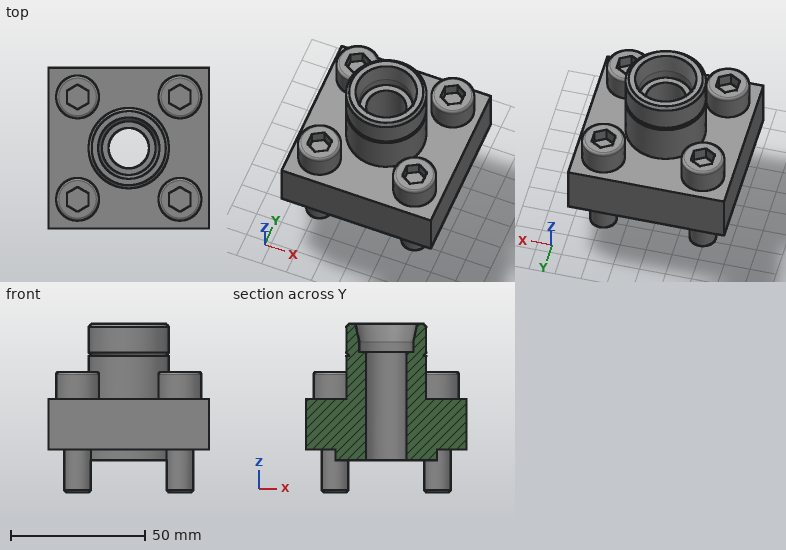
import cadquery as cq
import math

plate_side = 60.0
plate_thickness = 19.0

fitting_radius = 30.0 / 2
fitting_rise = 28.0
spigot_radius = 38.0 / 2
spigot_drop = 4.0
fitting_top = plate_thickness + fitting_rise

thread_root_radius = 27.64 / 2
thread_chamfer = fitting_radius - thread_root_radius
collar_length = 12.0

cone_half_angle = math.radians(12.0)
cone_mouth_radius = 22.9 / 2
socket_radius = 20.0 / 2
socket_depth = 10.5
bore_radius = 15.0 / 2
cone_depth = (cone_mouth_radius - socket_radius) / math.tan(cone_half_angle)

bolt_circle_diameter = 54.0
screw_pitch = bolt_circle_diameter / math.sqrt(2)
shank_radius = 10.0 / 2
shank_length = 35.0
tip_chamfer = 0.92
head_radius = 16.0 / 2
head_height = 10.0
head_fillet = 1.0
hex_across_flats = 8.0
hex_depth = 5.0


def make_plate():
    return cq.Workplane("XY").box(
        plate_side, plate_side, plate_thickness, centered=(True, True, False)
    )


def make_fitting():
    """Turned outer shape of the fitting, revolved about Z."""
    collar_bottom = fitting_top - collar_length
    outline = [
        (0, -spigot_drop),
        (spigot_radius, -spigot_drop),
        (spigot_radius, 0),
        (fitting_radius, 0),
        (fitting_radius, collar_bottom),
        (thread_root_radius, collar_bottom),
        (fitting_radius, collar_bottom + thread_chamfer),
        (fitting_radius, fitting_top - thread_chamfer),
        (thread_root_radius, fitting_top),
        (0, fitting_top),
    ]
    return cq.Workplane("XZ").polyline(outline).close().revolve(360, (0, 0), (0, 1))


def make_bore():
    """Stepped bore through the whole fitting, revolved about Z."""
    socket_floor = fitting_top - socket_depth
    outline = [
        (0, -spigot_drop),
        (bore_radius, -spigot_drop),
        (bore_radius, socket_floor),
        (socket_radius, socket_floor),
        (socket_radius, fitting_top - cone_depth),
        (cone_mouth_radius, fitting_top),
        (0, fitting_top),
    ]
    return cq.Workplane("XZ").polyline(outline).close().revolve(360, (0, 0), (0, 1))


def make_screw():
    """Cap screw with the underside of its head at Z = 0."""
    hex_across_corners = hex_across_flats / math.cos(math.pi / 6)
    shank = (
        cq.Workplane("XY")
        .circle(shank_radius)
        .extrude(-shank_length)
        .faces("<Z")
        .chamfer(tip_chamfer)
    )
    head = (
        cq.Workplane("XY")
        .circle(head_radius)
        .extrude(head_height)
        .faces(">Z")
        .edges()
        .fillet(head_fillet)
    )
    socket = (
        cq.Workplane("XY")
        .workplane(offset=head_height - hex_depth)
        .polygon(6, hex_across_corners)
        .extrude(hex_depth)
        .rotate((0, 0, 0), (0, 0, 1), 90)
    )
    return shank.union(head).cut(socket)


result = make_plate().union(make_fitting()).cut(make_bore())
screw = make_screw()
for side_x in (-1, 1):
    for side_y in (-1, 1):
        seat = (side_x * screw_pitch / 2, side_y * screw_pitch / 2, plate_thickness)
        result = result.union(screw.translate(seat))